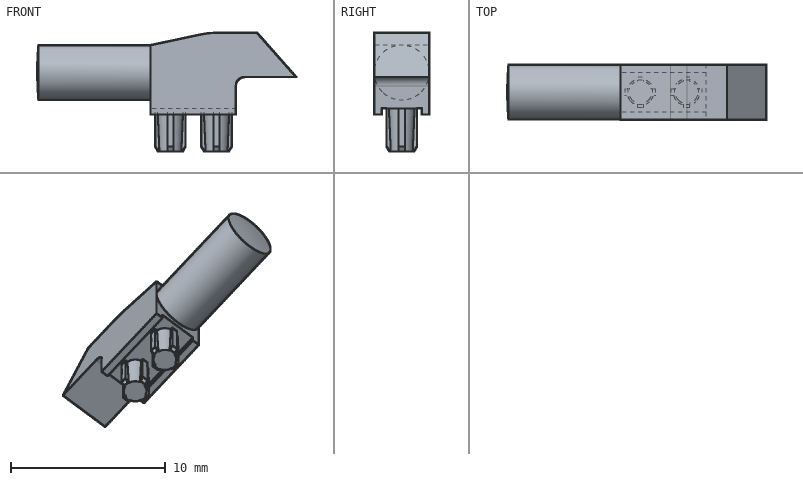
import cadquery as cq

total_length = 16.75
width = 3.57

pipe_diameter = 3.55
pipe_radius = pipe_diameter / 2
dome_height = 0.08

head_start = 7.32
head_end = 12.85
head_top = 2.58
head_height = 5.3
head_bottom = head_top - head_height
slope_start_z = pipe_radius
slope_meets_top_x = 11.09
slope_blend_radius = 5.02
bevel_start = 14.2
nose_z = head_top - 2.88
nose_fillet = 0.55

channel_width = 2.56
channel_depth = 0.4
channel_top = head_bottom + channel_depth

pin_first_x = 8.61
pin_spacing = 2.98
pin_count = 2
pin_below_head = 2.4
pin_length = pin_below_head + channel_depth
core_top_radius = 0.85
core_tip_radius = 0.74
rib_span = 1.98
rib_thickness = 0.4
rib_chamfer_width = 0.2
rib_chamfer_height = 0.34


def make_pipe():
    """Revolve the pipe profile, with its domed end, about the X axis."""
    sphere_radius = (pipe_radius**2 + dome_height**2) / (2 * dome_height)
    mid_height = pipe_radius / 2
    mid_x = sphere_radius - (sphere_radius**2 - mid_height**2) ** 0.5
    return (
        cq.Workplane("XZ")
        .moveTo(0, 0)
        .threePointArc((mid_x, mid_height), (dome_height, pipe_radius))
        .lineTo(head_start, pipe_radius)
        .lineTo(head_start, 0)
        .close()
        .revolve(360, (0, 0), (1, 0))
    )


def make_head():
    """Extrude the head outline, round its two blends and cut the channel."""
    outline = [
        (head_start, head_bottom),
        (head_start, slope_start_z),
        (slope_meets_top_x, head_top),
        (bevel_start, head_top),
        (total_length, nose_z),
        (head_end, nose_z),
        (head_end, head_bottom),
    ]
    head = cq.Workplane("XZ").polyline(outline).close().extrude(width / 2, both=True)
    slope_corner = cq.NearestToPointSelector((slope_meets_top_x, 0, head_top))
    nose_corner = cq.NearestToPointSelector((head_end, 0, nose_z))
    head = head.edges("|Y").edges(slope_corner).fillet(slope_blend_radius)
    head = head.edges("|Y").edges(nose_corner).fillet(nose_fillet)
    channel = (
        cq.Workplane("XY", origin=(head_start, 0, head_bottom))
        .rect(2 * (head_end - head_start), channel_width)
        .extrude(channel_depth)
    )
    return head.cut(channel)


def make_rib_pair():
    """Make one plate across the pin, giving two opposite ribs with beveled tips."""
    half_span = rib_span / 2
    tip_half_span = half_span - rib_chamfer_width
    bevel_z = rib_chamfer_height - pin_length
    outline = [
        (-half_span, 0),
        (half_span, 0),
        (half_span, bevel_z),
        (tip_half_span, -pin_length),
        (-tip_half_span, -pin_length),
        (-half_span, bevel_z),
    ]
    return cq.Workplane("XZ").polyline(outline).close().extrude(rib_thickness / 2, both=True)


def make_pin(x):
    """Make a pin hanging from the channel ceiling at the given X."""
    core = (
        cq.Workplane("XY")
        .circle(core_top_radius)
        .workplane(offset=-pin_length)
        .circle(core_tip_radius)
        .loft()
    )
    ribs = make_rib_pair()
    crossing_ribs = ribs.rotate((0, 0, 0), (0, 0, 1), 90)
    return core.union(ribs).union(crossing_ribs).translate((x, 0, channel_top))


pipe = make_pipe()
head = make_head()
pins = [make_pin(pin_first_x + i * pin_spacing) for i in range(pin_count)]

result = cq.Compound.makeCompound([pipe.val(), head.val(), *[pin.val() for pin in pins]])